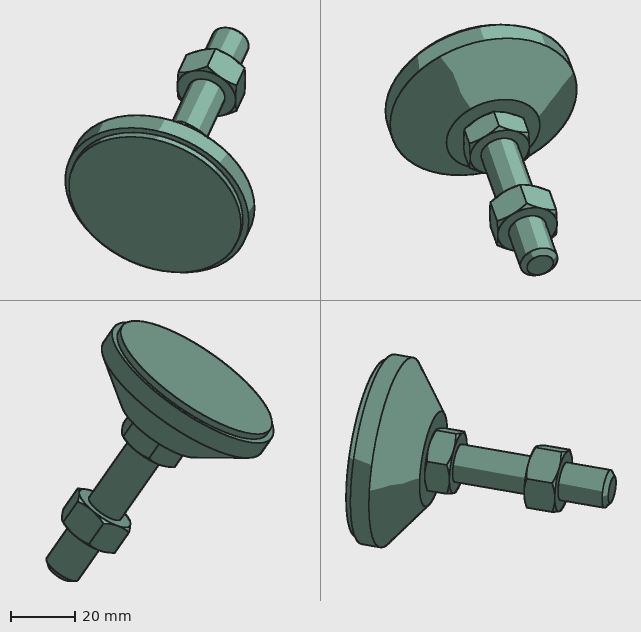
import cadquery as cq
import math

total_length = 78.0
base_diameter = 60.0

pad_diameter = 56.15
pad_thickness = 2.0
rim_end = 8.0
cone_end = 20.0
cone_top_diameter = 30.0

stud_diameter = 12.0
tip_chamfer_length = 1.5
tip_chamfer_depth = 1.8

across_flats = 19.0
across_corners = across_flats / math.cos(math.radians(30))
foot_nut_height = 8.0
lock_nut_start = 52.25
lock_nut_height = 10.0
nut_face_diameter = 19.0
nut_chamfer_angle = 30.0


def revolve_about_y(profile):
    """Revolve a closed (radius, Y) outline about the Y axis."""
    return cq.Workplane("XY").polyline(profile).close().revolve(360, (0, 0, 0), (0, 1, 0))


def make_foot():
    pad_radius = pad_diameter / 2
    base_radius = base_diameter / 2
    return revolve_about_y([
        (0, 0),
        (pad_radius, 0),
        (pad_radius, pad_thickness),
        (base_radius, pad_thickness),
        (base_radius, rim_end),
        (cone_top_diameter / 2, cone_end),
        (0, cone_end),
    ])


def make_stud():
    radius = stud_diameter / 2
    return revolve_about_y([
        (0, pad_thickness),
        (radius, pad_thickness),
        (radius, total_length - tip_chamfer_length),
        (radius - tip_chamfer_depth, total_length),
        (0, total_length),
    ])


def make_nut(start, height):
    """Hexagon nut whose corners are turned back by a cone at both ends."""
    end = start + height
    hexagon = (
        cq.Workplane("XZ", origin=(0, end, 0))
        .transformed(rotate=(0, 0, 90))
        .polygon(6, across_corners)
        .extrude(height)
    )
    face_radius = nut_face_diameter / 2
    corner_radius = across_corners / 2
    chamfer_length = (corner_radius - face_radius) * math.tan(math.radians(nut_chamfer_angle))
    turned_envelope = revolve_about_y([
        (0, start),
        (face_radius, start),
        (corner_radius, start + chamfer_length),
        (corner_radius, end - chamfer_length),
        (face_radius, end),
        (0, end),
    ])
    return hexagon.intersect(turned_envelope)


foot_nut = make_nut(cone_end, foot_nut_height)
lock_nut = make_nut(lock_nut_start, lock_nut_height)
result = make_foot().union(make_stud()).union(foot_nut).union(lock_nut)